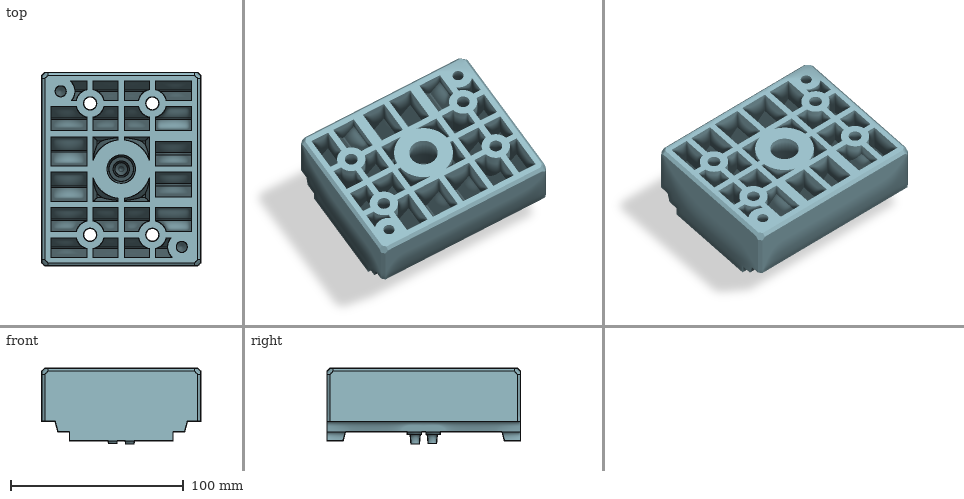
import cadquery as cq
import math

LENGTH_X = 92.0
LENGTH_Y = 112.0
TOP_Z = 42.0
SIDE_BOTTOM_Z = 11.2
BASE_Z = 5.2
EDGE_CHAMFER = 1.8
DRAFT = math.tan(math.radians(15.0))
STEP_HALF_TOP = 38.3

FOOT_HALF_X = 30.0
FOOT_LENGTH_Y = 9.4

POCKET_FIELD_X = 40.75
POCKET_FIELD_Y = 51.0
RIB = 3.6
RIB_PITCH_X = 18.0
BOLT_RIB_Y = 38.0
MIDDLE_RIB_Y = 20.5
NARROW_POCKET_Y = 16.1
POCKET_DEPTH = 21.5
SHALLOW_DEPTH = 13.5
FLOOR_STRIP = 0.9
WIDE_FLOOR_STRIP = 1.4
CENTRE_SLOPE = 2.3

BOSS_DIA = 16.4
BOLT_HOLE_DIA = 7.4
LOCATING_X = 35.0
LOCATING_Y = 45.0
LOCATING_HOLE_DIA = 6.4
LOCATING_HOLE_DEPTH = 15.0
DRILL_TIP_RATIO = 0.3
HUB_DIA = 34.0
HUB_FLARE = 2.9
BORE_TOP_DIA = 16.4
BORE_FLOOR_DIA = 14.2
BORE_DEPTH = 22.0
SOCKET_TOP_DIA = 9.4
SOCKET_BOTTOM_DIA = 7.4
SOCKET_DEPTH = 4.0
FUNNEL_END_DIA = 3.0
FUNNEL_SLOPE = math.tan(math.radians(30.0))

PIN_OFFSET = 4.95
PIN_ROOT_DIA = 6.4
PIN_TIP_DIA = 5.0
PIN_TIP_Z = -1.7
LONG_PIN_TIP_Z = -1.94
COLLAR_OFFSET = 5.4
COLLAR_DIA = 8.4
COLLAR_HEIGHT = 1.7

HALF_X = LENGTH_X / 2
HALF_Y = LENGTH_Y / 2
HALF_RIB = RIB / 2
OVERLAP = 0.5


def cylinder(x, y, z_low, z_high, diameter):
    return cq.Workplane("XY", origin=(x, y, z_low)).circle(diameter / 2).extrude(z_high - z_low)


def cone(x, y, z_low, z_high, dia_low, dia_high):
    height = z_high - z_low
    solid = cq.Solid.makeCone(dia_low / 2, dia_high / 2, height, cq.Vector(x, y, z_low))
    return cq.Workplane(obj=solid)


def box(x0, x1, y0, y1, z0, z1):
    return cq.Workplane("XY").box(x1 - x0, y1 - y0, z1 - z0, centered=False).translate((x0, y0, z0))


def corner_cutter(sign_x, sign_y):
    """Tetrahedron that truncates a top corner where three chamfers meet."""
    reach = 3 * EDGE_CHAMFER
    corner = cq.Vector(sign_x * HALF_X, sign_y * HALF_Y, TOP_Z)
    along_x = corner + cq.Vector(-sign_x * reach, 0, 0)
    along_y = corner + cq.Vector(0, -sign_y * reach, 0)
    along_z = corner + cq.Vector(0, 0, -reach)
    triangles = [
        (corner, along_x, along_y),
        (corner, along_y, along_z),
        (corner, along_z, along_x),
        (along_x, along_y, along_z),
    ]
    faces = [cq.Face.makeFromWires(cq.Wire.makePolygon(t, close=True)) for t in triangles]
    return cq.Workplane(obj=cq.Solid.makeSolid(cq.Shell.makeShell(faces)))


def make_body():
    body = box(-HALF_X, HALF_X, -HALF_Y, HALF_Y, SIDE_BOTTOM_Z, TOP_Z)
    body = body.edges("|Z").chamfer(EDGE_CHAMFER)
    body = body.faces(">Z").edges().chamfer(EDGE_CHAMFER)
    for sign_x in (-1, 1):
        for sign_y in (-1, 1):
            body = body.cut(corner_cutter(sign_x, sign_y))
    return body


def make_step():
    """Drafted lower step running the full length between the overhangs."""
    half_bottom = STEP_HALF_TOP - (SIDE_BOTTOM_Z - BASE_Z) * DRAFT
    profile = [
        (-half_bottom, BASE_Z),
        (half_bottom, BASE_Z),
        (STEP_HALF_TOP, SIDE_BOTTOM_Z),
        (-STEP_HALF_TOP, SIDE_BOTTOM_Z),
    ]
    return cq.Workplane("XZ", origin=(0, HALF_Y, 0)).polyline(profile).close().extrude(LENGTH_Y)


def make_foot(sign_y):
    """Foot at one Y end with a drafted inner face."""
    inner_bottom = HALF_Y - FOOT_LENGTH_Y
    inner_top = inner_bottom - BASE_Z * DRAFT
    profile = [
        (sign_y * HALF_Y, 0),
        (sign_y * HALF_Y, BASE_Z),
        (sign_y * inner_top, BASE_Z),
        (sign_y * inner_bottom, 0),
    ]
    plane = cq.Workplane("YZ", origin=(-FOOT_HALF_X, 0, 0))
    return plane.polyline(profile).close().extrude(2 * FOOT_HALF_X)


def make_pocket(x0, x1, y0, y1, depth, strip):
    """Pocket whose floor is a 45 degree V along X with a narrow flat strip."""
    floor_z = TOP_Z - depth
    slope = (y1 - y0 - strip) / 2
    profile = [
        (y0, TOP_Z),
        (y0, floor_z + slope),
        (y0 + slope, floor_z),
        (y1 - slope, floor_z),
        (y1, floor_z + slope),
        (y1, TOP_Z),
    ]
    return cq.Workplane("YZ", origin=(x0, 0, 0)).polyline(profile).close().extrude(x1 - x0)


def make_centre_pocket():
    """Quartered pocket around the hub, before the hub is put back."""
    half_x = RIB_PITCH_X - HALF_RIB
    half_y = MIDDLE_RIB_Y - HALF_RIB
    floor_z = TOP_Z - POCKET_DEPTH
    slope_z = floor_z + CENTRE_SLOPE
    pocket = box(-half_x, half_x, -half_y, half_y, slope_z, TOP_Z)
    funnel = (
        cq.Workplane("XY", origin=(0, 0, slope_z))
        .rect(2 * half_x, 2 * half_y)
        .workplane(offset=-CENTRE_SLOPE)
        .rect(2 * (half_x - CENTRE_SLOPE), 2 * (half_y - CENTRE_SLOPE))
        .loft(ruled=True)
    )
    pocket = pocket.union(funnel)
    flare = cone(0, 0, floor_z, floor_z + HUB_FLARE, HUB_DIA + 2 * HUB_FLARE, HUB_DIA)
    pocket = pocket.cut(flare)
    return pocket.cut(box(-HALF_RIB, HALF_RIB, -half_y, half_y, floor_z, TOP_Z))


def make_pockets():
    columns = [
        (-POCKET_FIELD_X, -RIB_PITCH_X - HALF_RIB),
        (-RIB_PITCH_X + HALF_RIB, -HALF_RIB),
        (HALF_RIB, RIB_PITCH_X - HALF_RIB),
        (RIB_PITCH_X + HALF_RIB, POCKET_FIELD_X),
    ]
    left, right = columns[0], columns[-1]
    end_row = (BOLT_RIB_Y + HALF_RIB, POCKET_FIELD_Y)
    bolt_row = (MIDDLE_RIB_Y + HALF_RIB, BOLT_RIB_Y - HALF_RIB)
    wide_row = (HALF_RIB, MIDDLE_RIB_Y - HALF_RIB)
    narrow_row = (HALF_RIB, NARROW_POCKET_Y)

    cells = [(column, end_row, POCKET_DEPTH, FLOOR_STRIP) for column in columns]
    cells += [(column, bolt_row, POCKET_DEPTH, FLOOR_STRIP) for column in columns[:-1]]
    cells.append((right, bolt_row, SHALLOW_DEPTH, FLOOR_STRIP))
    cells.append((left, wide_row, POCKET_DEPTH, FLOOR_STRIP))
    cells.append((right, narrow_row, POCKET_DEPTH, WIDE_FLOOR_STRIP))

    pockets = make_centre_pocket()
    for (x0, x1), (y0, y1), depth, strip in cells:
        pockets = pockets.union(make_pocket(x0, x1, y0, y1, depth, strip))
        pockets = pockets.union(make_pocket(x0, x1, -y1, -y0, depth, strip))
    return pockets


def make_locating_boss(sign):
    """Round boss widened into a solid block towards its outer corner."""
    x, y = -sign * LOCATING_X, sign * LOCATING_Y
    return cylinder(x, y, BASE_Z, TOP_Z, BOSS_DIA).union(
        cq.Workplane("XY", origin=(0, 0, BASE_Z))
        .rect(BOSS_DIA, BOSS_DIA)
        .extrude(TOP_Z - BASE_Z)
        .translate((x - sign * BOSS_DIA / 2, y, 0))
    )


def make_locating_hole(sign):
    x, y = -sign * LOCATING_X, sign * LOCATING_Y
    bottom = TOP_Z - LOCATING_HOLE_DEPTH
    tip = cone(x, y, bottom - DRILL_TIP_RATIO * LOCATING_HOLE_DIA, bottom, 0, LOCATING_HOLE_DIA)
    return cylinder(x, y, bottom, TOP_Z, LOCATING_HOLE_DIA).union(tip)


def make_hub_bore():
    """Tapered bore, then a socket, a shallow funnel and a 45 degree pointed bottom."""
    floor_z = TOP_Z - BORE_DEPTH
    socket_z = floor_z - SOCKET_DEPTH
    funnel_z = socket_z - FUNNEL_SLOPE * (SOCKET_BOTTOM_DIA - FUNNEL_END_DIA) / 2
    tip_z = funnel_z - FUNNEL_END_DIA / 2
    bore = cone(0, 0, floor_z, TOP_Z, BORE_FLOOR_DIA, BORE_TOP_DIA)
    socket = cone(0, 0, socket_z, floor_z, SOCKET_BOTTOM_DIA, SOCKET_TOP_DIA)
    funnel = cone(0, 0, funnel_z, socket_z, FUNNEL_END_DIA, SOCKET_BOTTOM_DIA)
    tip = cone(0, 0, tip_z, funnel_z, 0, FUNNEL_END_DIA)
    return bore.union(socket).union(funnel).union(tip)


def make_pin(sign_x, sign_y):
    """Tapered pin with a collar at its root; the +X, -Y pin is the longest."""
    is_long = sign_x > 0 and sign_y < 0
    tip_z = LONG_PIN_TIP_Z if is_long else PIN_TIP_Z
    root_z = BASE_Z + OVERLAP
    pin = cone(sign_x * PIN_OFFSET, sign_y * PIN_OFFSET, tip_z, root_z, PIN_TIP_DIA, PIN_ROOT_DIA)
    collar = cylinder(
        sign_x * COLLAR_OFFSET, sign_y * COLLAR_OFFSET, BASE_Z - COLLAR_HEIGHT, root_z, COLLAR_DIA
    )
    return pin.union(collar)


signs = (-1, 1)
bolt_points = [(sx * RIB_PITCH_X, sy * BOLT_RIB_Y) for sx in signs for sy in signs]

pockets = make_pockets()
for bolt_x, bolt_y in bolt_points:
    pockets = pockets.cut(cylinder(bolt_x, bolt_y, BASE_Z, TOP_Z, BOSS_DIA))
for sign in signs:
    pockets = pockets.cut(make_locating_boss(sign))
pockets = pockets.cut(cylinder(0, 0, BASE_Z, TOP_Z, HUB_DIA))

result = make_body().union(make_step())
for sign in signs:
    result = result.union(make_foot(sign))
result = result.cut(pockets).cut(make_hub_bore())
for bolt_x, bolt_y in bolt_points:
    result = result.cut(cylinder(bolt_x, bolt_y, 0, TOP_Z, BOLT_HOLE_DIA))
for sign in signs:
    result = result.cut(make_locating_hole(sign))
for sign_x in signs:
    for sign_y in signs:
        result = result.union(make_pin(sign_x, sign_y))